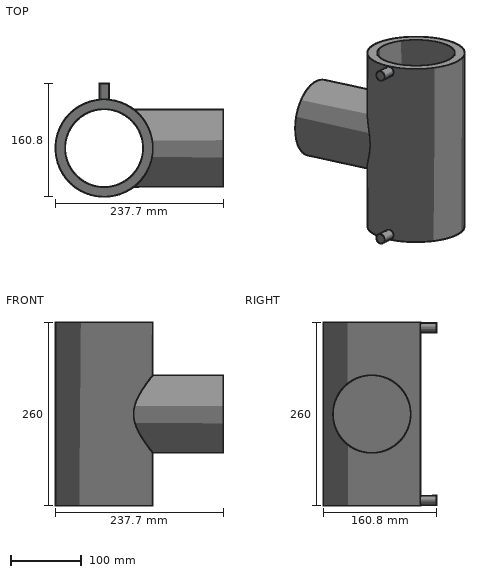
import cadquery as cq

pipe_height = 260.0
pipe_outer_diameter = 138.0
pipe_bore_diameter = 110.0

branch_diameter = pipe_bore_diameter
branch_reach = 168.7

pin_diameter = 14.0
pin_reach = 91.8
pin_end_offset = 7.8


def make_branch():
    """Round branch from the pipe axis out to its +X end."""
    return cq.Workplane("YZ").circle(branch_diameter / 2).extrude(branch_reach)


def make_pin(height):
    """Round pin from the pipe axis out to its +Y end at a height above mid height."""
    return (
        cq.Workplane("XZ", origin=(0, 0, height))
        .circle(pin_diameter / 2)
        .extrude(-pin_reach)
    )


body = cq.Workplane("XY").circle(pipe_outer_diameter / 2).extrude(pipe_height / 2, both=True)
body = body.union(make_branch())

pin_height = pipe_height / 2 - pin_end_offset
for side in (-1, 1):
    body = body.union(make_pin(side * pin_height))

bore = cq.Workplane("XY").circle(pipe_bore_diameter / 2).extrude(pipe_height / 2, both=True)
result = body.cut(bore)